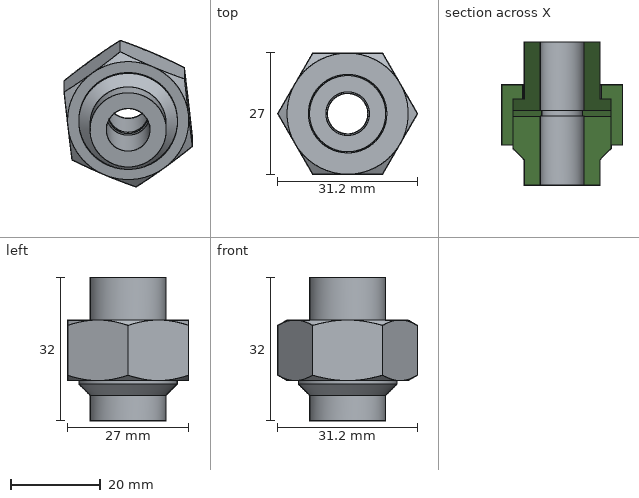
import cadquery as cq
import math

TOTAL_HEIGHT = 32.0
NUT_BOTTOM = 9.0
NUT_TOP = 22.5
COLLAR_BOTTOM = 8.22

PIPE_RADIUS = 17.0 / 2
BORE_RADIUS = 9.73 / 2

COLLAR_RADIUS = 22.0 / 2
CONE_BOTTOM = COLLAR_BOTTOM - (COLLAR_RADIUS - PIPE_RADIUS)

ACROSS_FLATS = 27.0
ACROSS_CORNERS = ACROSS_FLATS / math.cos(math.pi / 6)
CHAMFER_ANGLE = math.radians(30)
NUT_HOLE_RADIUS = 17.5 / 2
NUT_WEB = 3.2

FLANGE_THICKNESS = 2.55
SEAL_THICKNESS = 1.28
SEAL_BORE_RADIUS = 9.0 / 2
SHOULDER = NUT_TOP - NUT_WEB
FLANGE_BOTTOM = SHOULDER - FLANGE_THICKNESS
SEAL_BOTTOM = FLANGE_BOTTOM - SEAL_THICKNESS


def revolve_profile(points):
    """Turn a closed (radius, height) outline around the Z axis."""
    return cq.Workplane("XZ").polyline(points).close().revolve(360, (0, 0), (0, 1))


def cylinder(radius, bottom, top):
    return cq.Workplane("XY").workplane(offset=bottom).circle(radius).extrude(top - bottom)


def make_lower_body():
    """Pipe end widening through a cone to the collar that carries the seal."""
    return revolve_profile([
        (BORE_RADIUS, 0),
        (PIPE_RADIUS, 0),
        (PIPE_RADIUS, CONE_BOTTOM),
        (COLLAR_RADIUS, COLLAR_BOTTOM),
        (COLLAR_RADIUS, SEAL_BOTTOM),
        (BORE_RADIUS, SEAL_BOTTOM),
    ])


def make_seal():
    """Flat ring whose inner edge projects slightly into the bore."""
    ring = cylinder(COLLAR_RADIUS, SEAL_BOTTOM, FLANGE_BOTTOM)
    return ring.cut(cylinder(SEAL_BORE_RADIUS, SEAL_BOTTOM, FLANGE_BOTTOM))


def make_upper_body():
    """Pipe end with a flange held under the nut shoulder."""
    return revolve_profile([
        (BORE_RADIUS, FLANGE_BOTTOM),
        (COLLAR_RADIUS, FLANGE_BOTTOM),
        (COLLAR_RADIUS, SHOULDER),
        (PIPE_RADIUS, SHOULDER),
        (PIPE_RADIUS, TOTAL_HEIGHT),
        (BORE_RADIUS, TOTAL_HEIGHT),
    ])


def make_nut():
    """Hexagon nut with both ends chamfered and a stepped bore."""
    hexagon = (
        cq.Workplane("XY")
        .workplane(offset=NUT_BOTTOM)
        .polygon(6, ACROSS_CORNERS)
        .extrude(NUT_TOP - NUT_BOTTOM)
    )
    face_radius = ACROSS_FLATS / 2
    corner_radius = ACROSS_CORNERS / 2
    chamfer_drop = (corner_radius - face_radius) * math.tan(CHAMFER_ANGLE)
    chamfer_envelope = revolve_profile([
        (0, NUT_BOTTOM),
        (face_radius, NUT_BOTTOM),
        (corner_radius, NUT_BOTTOM + chamfer_drop),
        (corner_radius, NUT_TOP - chamfer_drop),
        (face_radius, NUT_TOP),
        (0, NUT_TOP),
    ])
    blank = hexagon.intersect(chamfer_envelope)
    lower_bore = cylinder(COLLAR_RADIUS, NUT_BOTTOM, SHOULDER)
    upper_hole = cylinder(NUT_HOLE_RADIUS, SHOULDER, NUT_TOP)
    return blank.cut(lower_bore).cut(upper_hole)


lower_body = make_lower_body()
seal = make_seal()
upper_body = make_upper_body()
nut = make_nut()

result = cq.Compound.makeCompound([
    lower_body.val(),
    seal.val(),
    upper_body.val(),
    nut.val(),
])